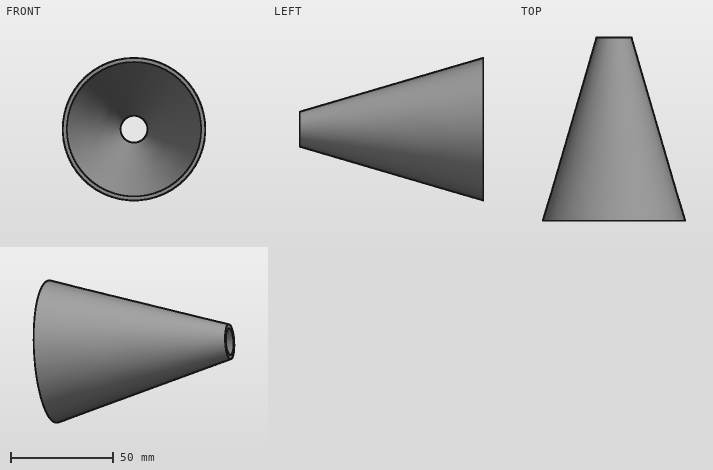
import cadquery as cq

length = 90.0
large_diameter = 70.0
small_diameter = 17.2
radial_wall = 2.1

large_radius = large_diameter / 2
small_radius = small_diameter / 2

wall_section = (
    cq.Workplane("YZ")
    .moveTo(0, large_radius - radial_wall)
    .lineTo(0, large_radius)
    .lineTo(length, small_radius)
    .lineTo(length, small_radius - radial_wall)
    .close()
)

result = wall_section.revolve(360, (0, 0, 0), (1, 0, 0))